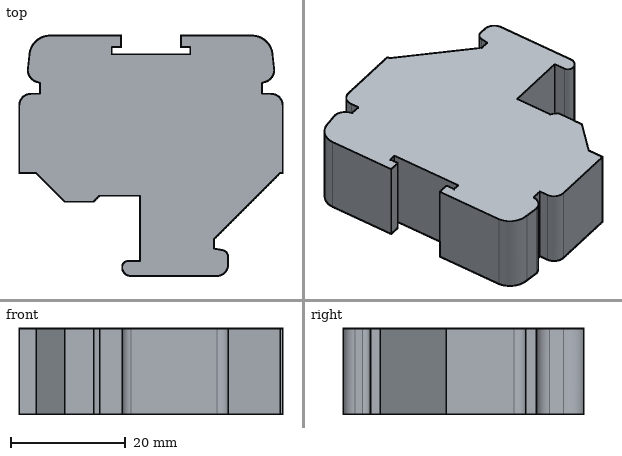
import cadquery as cq
import math

width = 46.0
height = 42.0
thickness = 15.0
half_width = width / 2

slot_mouth_half = 5.2
slot_undercut_half = 6.8
slot_lip = 2.02
slot_depth = 3.25

head_flat_half = 17.85
head_corner_half = 21.25
head_corner_drop = 3.6
head_corner_radius = 3.7
head_half = 21.55
head_lobe_drop = 6.03
head_lobe_radius = 2.25

notch_half = 19.4
notch_top = height - 8.3
notch_bottom = height - 10.15
lobe_end_half = 19.85
lobe_end_rise = 0.15
shoulder_radius = 2.02
shoulder_bottom = 18.0

left_ledge_x = -20.05
belly_bottom = 12.95
belly_left = left_ledge_x + shoulder_bottom - belly_bottom
belly_right = -10.05
step_bottom = 14.05
step_left = belly_right + step_bottom - belly_bottom

stem_left = -1.95
stem_right = 11.0
right_ledge_x = 22.55
stem_right_top = shoulder_bottom - (right_ledge_x - stem_right)
foot_left = -5.05
foot_right = 13.5
toe_top = 2.65
toe_lower_radius = 1.55
toe_upper_radius = toe_top - toe_lower_radius
heel_top = 4.85
heel_slope = math.radians(10)
heel_upper_radius = 1.25
heel_lower_radius = 2.02


def upper_half():
    """Right half of the block above the shoulder's lower edge."""
    return (
        cq.Workplane("XY")
        .moveTo(0, shoulder_bottom)
        .lineTo(half_width, shoulder_bottom)
        .lineTo(half_width, notch_bottom - shoulder_radius)
        .radiusArc((half_width - shoulder_radius, notch_bottom), -shoulder_radius)
        .lineTo(notch_half, notch_bottom)
        .lineTo(notch_half, notch_top)
        .lineTo(lobe_end_half, notch_top + lobe_end_rise)
        .radiusArc((head_half, height - head_lobe_drop), -head_lobe_radius)
        .lineTo(head_corner_half, height - head_corner_drop)
        .radiusArc((head_flat_half, height), -head_corner_radius)
        .lineTo(slot_mouth_half, height)
        .lineTo(slot_mouth_half, height - slot_lip)
        .lineTo(slot_undercut_half, height - slot_lip)
        .lineTo(slot_undercut_half, height - slot_depth)
        .lineTo(0, height - slot_depth)
        .close()
        .extrude(thickness)
    )


def lower_body():
    """Stepped underside, stem and foot below the shoulders."""
    heel_corner_y = heel_top - (foot_right - stem_right) * math.tan(heel_slope)
    setback = heel_upper_radius * math.tan((math.pi / 2 - heel_slope) / 2)
    heel_arc_start = (foot_right, heel_corner_y - setback)
    heel_arc_end = (
        foot_right - setback * math.cos(heel_slope),
        heel_corner_y + setback * math.sin(heel_slope),
    )
    return (
        cq.Workplane("XY")
        .moveTo(left_ledge_x, shoulder_bottom)
        .lineTo(belly_left, belly_bottom)
        .lineTo(belly_right, belly_bottom)
        .lineTo(step_left, step_bottom)
        .lineTo(stem_left, step_bottom)
        .lineTo(stem_left, toe_top)
        .lineTo(foot_left + toe_upper_radius, toe_top)
        .radiusArc((foot_left, toe_lower_radius), -toe_upper_radius)
        .radiusArc((foot_left + toe_lower_radius, 0), -toe_lower_radius)
        .lineTo(foot_right - heel_lower_radius, 0)
        .radiusArc((foot_right, heel_lower_radius), -heel_lower_radius)
        .lineTo(*heel_arc_start)
        .radiusArc(heel_arc_end, -heel_upper_radius)
        .lineTo(stem_right, heel_top)
        .lineTo(stem_right, stem_right_top)
        .lineTo(right_ledge_x, shoulder_bottom)
        .close()
        .extrude(thickness)
    )


right_half = upper_half()
left_half = right_half.mirror("YZ")
result = right_half.union(left_half).union(lower_body()).clean()